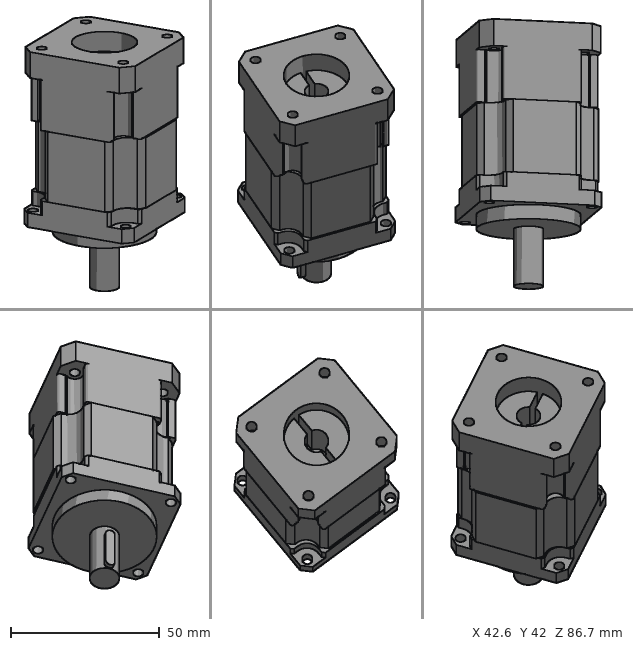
import cadquery as cq
import math

side = 42.0
half = side / 2
shaft_length = 19.6
pilot_height = 4.85
flange_height = 10.15
ring_height = 25.0
adapter_height = 27.1

pilot_bottom = -pilot_height
shaft_tip = pilot_bottom - shaft_length
ring_bottom = flange_height
adapter_bottom = ring_bottom + ring_height
adapter_top = adapter_bottom + adapter_height

pilot_diameter = 35.0
flange_chamfer = 3.0
flange_ear_thickness = 5.1
flange_hole_diameter = 3.5
flange_hole_offset = 17.7
flange_pocket_mouth = 8.5
flange_pocket_wall = 7.5
flange_pocket_center = 2.5

ring_shift = 0.6
ring_pocket_mouth = 10.15
ring_pocket_wall = 8.1
ring_pocket_center = 3.0

adapter_chamfer = 4.0
adapter_plate_thickness = 9.2
motor_hole_diameter = 3.5
motor_hole_offset = 15.5
motor_bore_diameter = 22.0
motor_bore_depth = 7.0
coupling_hole_diameter = 8.0
coupling_slot_width = 2.0
adapter_pocket_mouth = 8.5
adapter_lip_radius = 0.95
screw_relief_radius = 3.1
relief_blend_radius = 0.8

shaft_diameter = 10.0
key_width = 3.2
key_length = 16.1
key_top = 6.4
key_tip_gap = 0.4

CORNER_ANGLES = (0, 90, 180, 270)


def square_block(bottom, height):
    return cq.Workplane("XY").workplane(offset=bottom).rect(side, side).extrude(height)


def hole_pattern(offset, diameter, bottom, height):
    """Four cylinders on a square pattern, used as cutters."""
    spacing = 2 * offset
    return (
        cq.Workplane("XY").workplane(offset=bottom)
        .rect(spacing, spacing, forConstruction=True).vertices()
        .circle(diameter / 2).extrude(height)
    )


def cut_corners(block, pocket):
    """Cut a pocket made for the (-X, -Y) corner from all four corners."""
    for angle in CORNER_ANGLES:
        block = block.cut(pocket.rotate((0, 0, 0), (0, 0, 1), angle))
    return block


def beveled_pocket(mouth, wall, center, bottom, height):
    """Corner pocket with beveled mouth edges and a quarter-round inner wall."""
    bevel = mouth - wall
    middle = center + (wall - center) * math.sqrt(0.5)
    return (
        cq.Workplane("XY", origin=(-half, -half, bottom))
        .lineTo(0, mouth)
        .lineTo(bevel, wall)
        .lineTo(center, wall)
        .threePointArc((middle, middle), (wall, center))
        .lineTo(wall, bevel)
        .lineTo(mouth, 0)
        .close().extrude(height)
    )


def relief_pocket(bottom, height):
    """Corner pocket with rounded lips and a round relief about the motor screw."""
    lip = adapter_lip_radius
    wall = adapter_pocket_mouth - lip
    screw = half - motor_hole_offset
    center_distance = screw_relief_radius + relief_blend_radius
    blend_y = wall + relief_blend_radius
    blend_x = screw - math.sqrt(center_distance**2 - (blend_y - screw) ** 2)
    reach = screw_relief_radius / center_distance
    relief_x = screw + (blend_x - screw) * reach
    relief_y = screw + (blend_y - screw) * reach
    blend_angle = (math.atan2(relief_y - blend_y, relief_x - blend_x) - math.pi / 2) / 2
    blend_mid_x = blend_x - relief_blend_radius * math.sin(blend_angle)
    blend_mid_y = blend_y + relief_blend_radius * math.cos(blend_angle)
    relief_mid = screw + screw_relief_radius * math.sqrt(0.5)
    lip_mid = lip * math.sqrt(0.5)
    lip_mid_y = wall + lip - lip_mid
    return (
        cq.Workplane("XY", origin=(-half, -half, bottom))
        .lineTo(0, adapter_pocket_mouth)
        .threePointArc((lip - lip_mid, lip_mid_y), (lip, wall))
        .lineTo(blend_x, wall)
        .threePointArc((blend_mid_x, blend_mid_y), (relief_x, relief_y))
        .threePointArc((relief_mid, relief_mid), (relief_y, relief_x))
        .threePointArc((blend_mid_y, blend_mid_x), (wall, blend_x))
        .lineTo(wall, lip)
        .threePointArc((lip_mid_y, lip - lip_mid), (adapter_pocket_mouth, 0))
        .close().extrude(height)
    )


def make_output_flange():
    flange = square_block(0, flange_height).edges("|Z").chamfer(flange_chamfer)
    pocket = beveled_pocket(
        flange_pocket_mouth, flange_pocket_wall, flange_pocket_center,
        flange_ear_thickness, flange_height - flange_ear_thickness,
    )
    flange = cut_corners(flange, pocket)
    flange = flange.cut(
        hole_pattern(flange_hole_offset, flange_hole_diameter, 0, flange_ear_thickness)
    )
    pilot = (
        cq.Workplane("XY").workplane(offset=pilot_bottom)
        .circle(pilot_diameter / 2).extrude(pilot_height)
    )
    return flange.union(pilot)


def make_ring_gear_housing():
    ring = square_block(ring_bottom, ring_height)
    pocket = beveled_pocket(
        ring_pocket_mouth, ring_pocket_wall, ring_pocket_center, ring_bottom, ring_height
    )
    return cut_corners(ring, pocket).translate((ring_shift, 0, 0))


def make_motor_adapter():
    adapter = square_block(adapter_bottom, adapter_height).edges("|Z").chamfer(adapter_chamfer)
    pocket_height = adapter_height - adapter_plate_thickness
    adapter = cut_corners(adapter, relief_pocket(adapter_bottom, pocket_height))
    adapter = adapter.cut(
        hole_pattern(
            motor_hole_offset, motor_hole_diameter,
            adapter_top - adapter_plate_thickness, adapter_plate_thickness,
        )
    )
    bore = (
        cq.Workplane("XY").workplane(offset=adapter_top)
        .circle(motor_bore_diameter / 2).extrude(-motor_bore_depth)
    )
    base = cq.Workplane("XY").workplane(offset=adapter_bottom)
    coupling_hole = base.circle(coupling_hole_diameter / 2).extrude(adapter_height)
    slot = (
        base.rect(motor_bore_diameter, coupling_slot_width).extrude(adapter_height)
        .intersect(base.circle(motor_bore_diameter / 2).extrude(adapter_height))
    )
    return adapter.cut(bore).cut(coupling_hole).cut(slot)


def make_output_shaft():
    shaft = (
        cq.Workplane("XY").workplane(offset=shaft_tip)
        .circle(shaft_diameter / 2).extrude(shaft_length)
    )
    key_middle = shaft_tip + key_tip_gap + key_length / 2
    key = (
        cq.Workplane("XZ", origin=(0, 0, key_middle))
        .slot2D(key_length, key_width, 90).extrude(-key_top)
    )
    return shaft.union(key)


output_flange = make_output_flange()
ring_gear_housing = make_ring_gear_housing()
motor_adapter = make_motor_adapter()
output_shaft = make_output_shaft()

result = cq.Compound.makeCompound([
    output_flange.val(),
    ring_gear_housing.val(),
    motor_adapter.val(),
    output_shaft.val(),
])